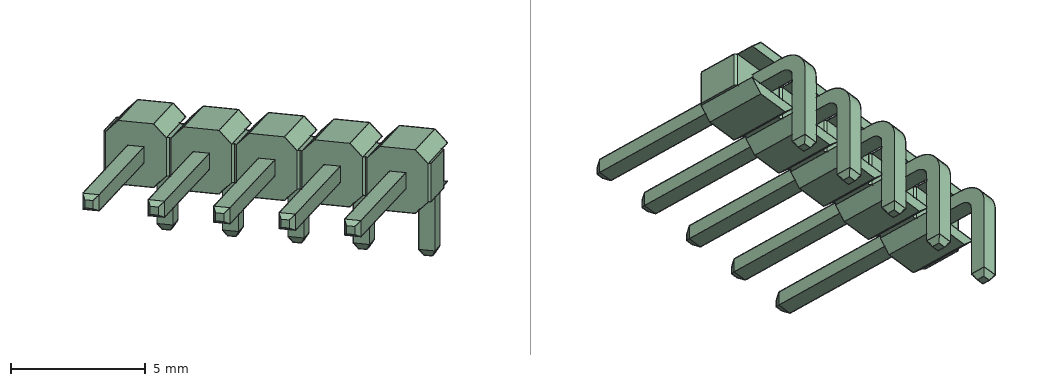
import cadquery as cq
import math

pin_count = 5
pitch = 2.54
row_start = -(pin_count - 1) * pitch / 2

lobe_width = 2.36
lobe_height = 2.5
lobe_depth = 2.5
lobe_chamfer = 0.5

web_height = lobe_height - 2 * lobe_chamfer
web_depth = 1.79
web_reach = (pitch - lobe_width) / 2
web_bevel = web_reach

pin_side = 0.64
pin_front_reach = 6.0
pin_length = 10.35
overall_height = 5.5
bend_inner_radius = 0.5
bend_outer_radius = bend_inner_radius + pin_side
tip_length = 0.27
tip_side = 0.32

pin_front = -pin_front_reach
pin_back = pin_front + pin_length
pin_bottom = lobe_height / 2 - overall_height
leg_y = pin_back - pin_side / 2


def centred_box(x_size, z_size, y_start, y_end):
    """Box centred on the Y axis that runs from y_start to y_end."""
    return cq.Workplane("XY").box(x_size, y_end - y_start, z_size).translate((0, (y_start + y_end) / 2, 0))


def make_segment():
    """One housing segment, centred on X = 0, before its pin hole is cut."""
    lobe = centred_box(lobe_width, lobe_height, 0, lobe_depth).edges("|Y").chamfer(lobe_chamfer)

    rear_slot = centred_box(pitch, web_height, web_depth, lobe_depth)

    web = (
        cq.Workplane("XY")
        .workplane(offset=-web_height / 2)
        .moveTo(-lobe_width / 2, 0)
        .lineTo(lobe_width / 2, 0)
        .lineTo(lobe_width / 2 + web_reach, web_bevel)
        .lineTo(lobe_width / 2 + web_reach, web_depth - web_bevel)
        .lineTo(lobe_width / 2, web_depth)
        .lineTo(-lobe_width / 2, web_depth)
        .lineTo(-lobe_width / 2 - web_reach, web_depth - web_bevel)
        .lineTo(-lobe_width / 2 - web_reach, web_bevel)
        .close()
        .extrude(web_height)
    )
    return lobe.cut(rear_slot).union(web)


def make_housing(pin_places):
    """All segments joined into one body, with a square hole for each pin."""
    housing = make_segment().translate((pin_places[0], 0, 0))
    for x in pin_places[1:]:
        housing = housing.union(make_segment().translate((x, 0, 0)))
    for x in pin_places:
        hole = centred_box(pin_side, pin_side, 0, lobe_depth)
        housing = housing.cut(hole.translate((x, 0, 0)))
    return housing


def make_tip(origin, direction):
    """Pyramid frustum that narrows from the pin section to the tip section."""
    base = cq.Plane(origin=origin, xDir=(1, 0, 0), normal=direction)
    return (
        cq.Workplane(base)
        .rect(pin_side, pin_side)
        .workplane(offset=tip_length)
        .rect(tip_side, tip_side)
        .loft(ruled=True)
    )


def make_pin():
    """Right-angle pin centred on X = 0, with tapered ends."""
    half = pin_side / 2
    bend_y = pin_back - bend_outer_radius
    bend_z = half - bend_outer_radius
    diagonal = math.sqrt(0.5)
    front_shoulder = pin_front + tip_length
    bottom_shoulder = pin_bottom + tip_length

    shaft = (
        cq.Workplane("YZ")
        .workplane(offset=-half)
        .moveTo(front_shoulder, half)
        .lineTo(bend_y, half)
        .threePointArc(
            (bend_y + bend_outer_radius * diagonal, bend_z + bend_outer_radius * diagonal),
            (pin_back, bend_z),
        )
        .lineTo(pin_back, bottom_shoulder)
        .lineTo(pin_back - pin_side, bottom_shoulder)
        .lineTo(pin_back - pin_side, bend_z)
        .threePointArc(
            (bend_y + bend_inner_radius * diagonal, bend_z + bend_inner_radius * diagonal),
            (bend_y, -half),
        )
        .lineTo(front_shoulder, -half)
        .close()
        .extrude(pin_side)
    )
    front_tip = make_tip((0, front_shoulder, 0), (0, -1, 0))
    bottom_tip = make_tip((0, leg_y, bottom_shoulder), (0, 0, -1))
    return shaft.union(front_tip).union(bottom_tip)


pin_places = [row_start + i * pitch for i in range(pin_count)]
housing = make_housing(pin_places)
pins = [make_pin().translate((x, 0, 0)) for x in pin_places]

result = cq.Compound.makeCompound([housing.solids().val(), *[pin.solids().val() for pin in pins]])